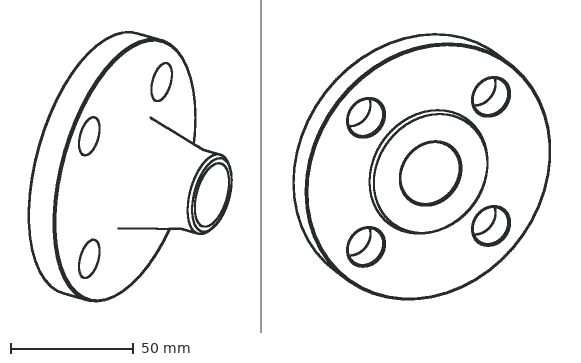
import cadquery as cq
import math

total_length = 56.0
raised_face_height = 2.0
flange_back = 14.7
cone_end = 46.0

flange_diameter = 110
raised_face_diameter = 53.0
cone_base_diameter = 48.7
neck_diameter = 33.4
bore_diameter = 26.6

bolt_hole_count = 4
bolt_hole_diameter = 16.0
bolt_circle_diameter = 79.4

edge_chamfer = 0.5
raised_face_taper = 1.0
weld_bevel = 1.3
hub_root_radius = 3.7
neck_blend_radius = 4.4

raised_face_radius = raised_face_diameter / 2
neck_radius = neck_diameter / 2


def cylinder_along_x(diameter, start, end):
    return cq.Workplane("YZ").workplane(offset=start).circle(diameter / 2).extrude(end - start)


def make_flange():
    """Bolting disc with chamfered rims."""
    disc = cylinder_along_x(flange_diameter, raised_face_height, flange_back)
    return disc.edges().chamfer(edge_chamfer)


def make_raised_face():
    """Sealing face with a tapered side."""
    profile = [
        (0, 0),
        (0, raised_face_radius - raised_face_taper),
        (raised_face_height, raised_face_radius),
        (raised_face_height, 0),
    ]
    return cq.Workplane("XY").polyline(profile).close().revolve(360, (0, 0), (1, 0))


def make_hub():
    """Conical hub and weld neck, blended into each other and into the flange."""
    base_radius = cone_base_diameter / 2
    cone_angle = math.atan2(base_radius - neck_radius, cone_end - flange_back)
    sine = math.sin(cone_angle)
    cosine = math.cos(cone_angle)

    root_center_x = flange_back + hub_root_radius
    root_center_r = (
        base_radius - hub_root_radius * math.tan(cone_angle) + hub_root_radius / cosine
    )
    root_end = (root_center_x - hub_root_radius * sine, root_center_r - hub_root_radius * cosine)

    tangent_length = neck_blend_radius * math.tan(cone_angle / 2)
    blend_start = (cone_end - tangent_length * cosine, neck_radius + tangent_length * sine)

    return (
        cq.Workplane("XY")
        .moveTo(flange_back, 0)
        .lineTo(flange_back, root_center_r)
        .radiusArc(root_end, -hub_root_radius)
        .lineTo(*blend_start)
        .radiusArc((cone_end + tangent_length, neck_radius), -neck_blend_radius)
        .lineTo(total_length - weld_bevel, neck_radius)
        .lineTo(total_length, neck_radius - weld_bevel)
        .lineTo(total_length, 0)
        .close()
        .revolve(360, (0, 0), (1, 0))
    )


def make_hole(diameter, start, end):
    """Cutter for a through hole, chamfered where it starts."""
    radius = diameter / 2
    profile = [
        (start, 0),
        (start, radius + edge_chamfer),
        (start + edge_chamfer, radius),
        (end, radius),
        (end, 0),
    ]
    return cq.Workplane("XY").polyline(profile).close().revolve(360, (0, 0), (1, 0))


result = make_flange().union(make_raised_face()).union(make_hub())
result = result.cut(make_hole(bore_diameter, 0, total_length))

bolt_hole = make_hole(bolt_hole_diameter, raised_face_height, flange_back)
bolt_hole = bolt_hole.translate((0, bolt_circle_diameter / 2, 0))
bolt_spacing = 360 / bolt_hole_count
first_bolt_angle = bolt_spacing / 2
for index in range(bolt_hole_count):
    angle = first_bolt_angle + index * bolt_spacing
    result = result.cut(bolt_hole.rotate((0, 0, 0), (1, 0, 0), angle))